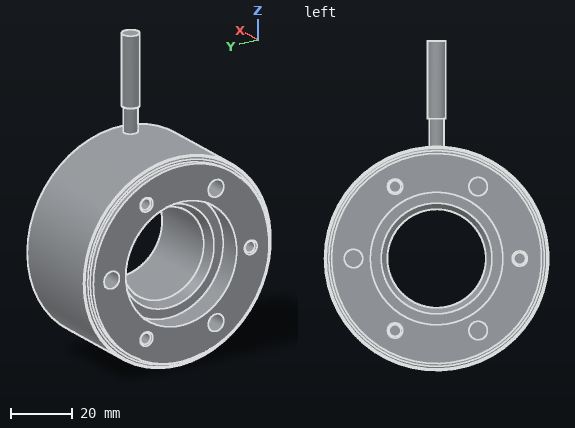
import cadquery as cq
import math

total_length = 35.8
body_diameter = 72.9
lip_diameter = 68.3
lip_length = 1.9
collar_length = 0.4
collar_front_diameter = 70.1
collar_rear_diameter = 71.8

counterbore_diameter = 43.1
counterbore_depth = 8.0
bore_diameter = 31.9
cone_diameter = 36.0
cone_length = 3.0

hole_circle_radius = 27.0
hole_count = 3
plain_hole_diameter = 6.0
plain_hole_depth = 10.0
thread_diameter = 3.9
thread_mouth_diameter = 4.9
thread_depth = plain_hole_depth
countersink_taper = 45

overall_height = 107.2
cable_x = 30.0
cable_diameter = 6.0
cable_length = 25.3
neck_diameter = 4.9

body_radius = body_diameter / 2
body_front = lip_length + collar_length
cable_top = overall_height - body_radius


def make_ring():
    """Revolve the half section of the ring about the X axis."""
    counterbore_radius = counterbore_diameter / 2
    cone_radius = cone_diameter / 2
    bore_radius = bore_diameter / 2
    lip_radius = lip_diameter / 2
    section = [
        (0, counterbore_radius),
        (0, lip_radius),
        (lip_length, lip_radius),
        (lip_length, collar_front_diameter / 2),
        (body_front, collar_rear_diameter / 2),
        (body_front, body_radius),
        (total_length, body_radius),
        (total_length, bore_radius),
        (counterbore_depth + cone_length, bore_radius),
        (counterbore_depth, cone_radius),
        (counterbore_depth, counterbore_radius),
    ]
    return cq.Workplane("XY").polyline(section).close().revolve(360, (0, 0, 0), (1, 0, 0))


def front_face_pattern(first_angle):
    """Place equally spaced points on the hole circle; angles run from +Y towards +Z."""
    angles = [math.radians(first_angle + i * 360 / hole_count) for i in range(hole_count)]
    points = [(hole_circle_radius * math.cos(a), hole_circle_radius * math.sin(a)) for a in angles]
    return cq.Workplane("YZ").pushPoints(points)


def make_plain_holes():
    return front_face_pattern(0).circle(plain_hole_diameter / 2).extrude(plain_hole_depth)


def make_threaded_holes():
    """Core holes with a countersink at the mouth."""
    mouth_depth = (thread_mouth_diameter - thread_diameter) / 2 / math.tan(math.radians(countersink_taper))
    first_angle = 180 / hole_count
    cores = front_face_pattern(first_angle).circle(thread_diameter / 2).extrude(thread_depth)
    mouths = front_face_pattern(first_angle).circle(thread_mouth_diameter / 2)
    mouths = mouths.extrude(mouth_depth, taper=countersink_taper)
    return cores.union(mouths)


def make_cable():
    """Thick cable end on a thinner neck that is rooted in the wall of the ring."""
    root = (body_radius + bore_diameter / 2) / 2
    neck_length = cable_top - cable_length - root
    neck = cq.Workplane("XY", origin=(cable_x, 0, root)).circle(neck_diameter / 2).extrude(neck_length)
    return neck.faces(">Z").workplane().circle(cable_diameter / 2).extrude(cable_length)


result = make_ring().cut(make_plain_holes()).cut(make_threaded_holes()).union(make_cable())